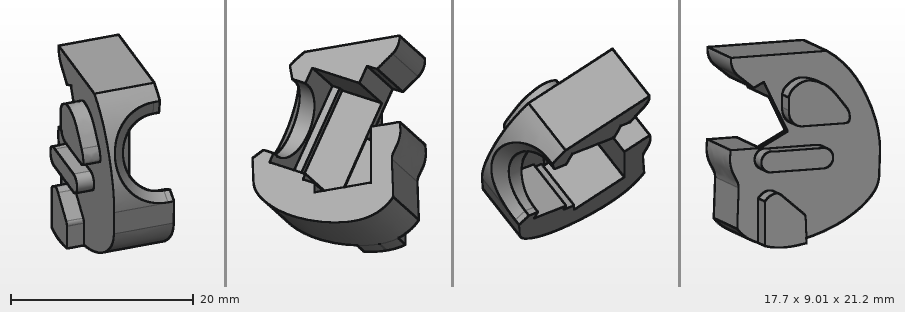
import cadquery as cq
import math

height = 21.2
pad_height = 2.0
body_depth = 7.01
back_y = pad_height + body_depth
skin = 0.87
lower_skin = 0.75
ledge_depth = 1.53

tilt = math.radians(26.3)
notch_corner = (6.8, 12.52)
notch_width = 6.35
mouth_x, mouth_z = 3.54, 10.9

bore_radius = 4.28
mouth_chamfer = 1.4
bore_center_y = back_y - 0.72
bore_v = -1.9
bore_start = 6.27
mouth_u = 9.54
bore_exit = 12.71

ledge_u = 5.3
cavity_top_v = 4.25
floor_v = -7.3
step_u, step_drop = 1.48, 0.68
lower_end_u = -0.06
cavity_bottom_z = 4.24


def tilted(u, v):
    """Point u along the bore direction and v across it, from the notch corner."""
    x0, z0 = notch_corner
    return (x0 + u * math.cos(tilt) - v * math.sin(tilt),
            z0 + u * math.sin(tilt) + v * math.cos(tilt))


def front_plane(y):
    return cq.Workplane("XZ", origin=(0, y, 0))


def extrude_back(profile, depth):
    return profile.extrude(-depth)


def body_profile(y):
    return (
        front_plane(y)
        .moveTo(0.13, height)
        .lineTo(11.45, height)
        .spline([(14.5, 18.48), (16.53, 14.94), (17.48, 11.97), (17.71, 9.54)], includeCurrent=True)
        .lineTo(17.6, 6.78)
        .spline([(17.3, 5.57), (16.2, 4.15), (14.73, 2.92), (12.3, 1.57), (8.26, 0.3), (5.62, 0.0),
                 (3.33, 0.32), (1.9, 1.04), (0.85, 2.05)], includeCurrent=True)
        .lineTo(1.02, 6.61)
        .spline([(0.87, 7.29), (0.25, 8.52), (0.0, 9.68), (0.08, mouth_z)],
                tangents=[(0, 1), (0.1, 1)], includeCurrent=True)
        .lineTo(mouth_x, mouth_z)
        .lineTo(*notch_corner)
        .lineTo(*tilted(0, notch_width))
        .lineTo(2.78, 17.65)
        .lineTo(0.93, 19.15)
        .threePointArc((0.25, 20.13), (0.13, height))
        .close()
    )


def cavity(y, end_u):
    """Stepped hollow behind the front wall, open at the back."""
    points = [
        (mouth_x, mouth_z),
        (mouth_x, cavity_bottom_z),
        (tilted(lower_end_u, floor_v - step_drop)[0], cavity_bottom_z),
        tilted(lower_end_u, floor_v - step_drop),
        tilted(step_u, floor_v - step_drop),
        tilted(step_u, floor_v),
        tilted(end_u, floor_v),
        tilted(end_u, cavity_top_v),
        tilted(0, cavity_top_v),
        notch_corner,
    ]
    return extrude_back(front_plane(y).polyline(points).close(), back_y - y)


def lower_relief():
    """Slightly thinner front wall below the lower notch face."""
    points = [
        (mouth_x, mouth_z),
        (mouth_x, cavity_bottom_z),
        (tilted(lower_end_u, floor_v)[0], cavity_bottom_z),
        tilted(lower_end_u, floor_v),
        tilted(0, 0),
    ]
    profile = front_plane(pad_height + lower_skin).polyline(points).close()
    return extrude_back(profile, skin - lower_skin)


def open_bore():
    """Bore along u whose sides run straight out through the back."""
    profile = [
        (0, bore_start),
        (bore_radius, bore_start),
        (bore_radius, bore_exit),
        (0, bore_exit),
    ]
    x0, z0 = tilted(0, bore_v)
    plane = cq.Plane(
        origin=(x0, bore_center_y, z0),
        xDir=(-math.sin(tilt), 0, math.cos(tilt)),
        normal=(0, 1, 0),
    )
    other_half = [(-r, u) for r, u in reversed(profile[1:-1])]
    round_part = cq.Workplane(plane).polyline(profile).close().revolve(360, (0, 0), (0, 1))
    open_part = cq.Workplane(plane).polyline(profile + other_half).close().extrude(back_y - bore_center_y)
    return round_part.union(open_part)


def chamfer_mouth(solid):
    """Chamfer the U-shaped edge where the bore leaves the curved outer surface."""
    center_x, center_z = tilted(mouth_u, bore_v)
    lowest_point = (center_x, bore_center_y - bore_radius, center_z)
    mouth_edge = solid.edges(cq.selectors.NearestToPointSelector(lowest_point))
    return mouth_edge.chamfer(mouth_chamfer)


def upper_pad():
    return extrude_back(
        front_plane(0)
        .moveTo(6.15, 16.7)
        .spline([(6.9, 17.85), (8.12, 18.41), (9.54, 18.22), (10.76, 17.6), (11.75, 16.61), (12.78, 15.35)],
                tangents=[(0.2, 1), (0.65, -0.8)], includeCurrent=True)
        .spline([(13.33, 14.2), (12.75, 13.37)], tangents=[(0.65, -0.8), (-1, 0)], includeCurrent=True)
        .lineTo(7.85, 13.37)
        .spline([(6.65, 13.82), (6.15, 15.25)], tangents=[(-1, 0), (0, 1)], includeCurrent=True)
        .close(), pad_height)


def middle_pad():
    return extrude_back(
        front_plane(0)
        .moveTo(4.35, 10.79)
        .lineTo(10.23, 10.79)
        .threePointArc((11.38, 9.62), (10.23, 8.5))
        .lineTo(4.24, 8.5)
        .threePointArc((2.9, 9.66), (4.35, 10.79))
        .close(), pad_height)


def lower_pad():
    """Pad cut off at the bottom by the body's own outline."""
    pad = extrude_back(
        front_plane(0)
        .moveTo(3.33, 0)
        .lineTo(3.33, 5.3)
        .spline([(3.96, 5.9), (4.62, 6.1), (5.35, 5.8)], includeCurrent=True)
        .lineTo(7.93, 3.58)
        .threePointArc((8.1, 3.35), (8.14, 3.05))
        .lineTo(8.26, 0)
        .close(), pad_height)
    return pad.intersect(extrude_back(body_profile(0), pad_height))


body = extrude_back(body_profile(pad_height), body_depth)
body = body.cut(cavity(pad_height + skin, ledge_u))
body = body.cut(cavity(pad_height + ledge_depth, bore_start))
body = body.cut(lower_relief())
body = body.cut(open_bore())
body = chamfer_mouth(body)
result = body.union(upper_pad()).union(middle_pad()).union(lower_pad())